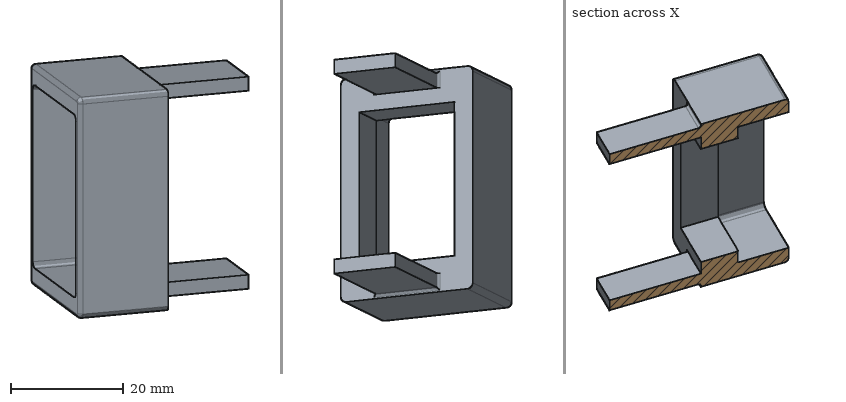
import cadquery as cq

body_width = 26.0
body_depth = 16.97
body_height = 40.8
side_edge_radius = 1.0
front_edge_radius = 0.78

pocket_width = body_width - 2 * 1.5
pocket_height = body_height - 2 * 3.5
pocket_depth = 9.75
pocket_corner_radius = 1.0
window_width = 18.73
window_height = 28.15

overall_depth = 34.6
arm_width = 12.0
arm_thickness = 2.6
arm_inset = 0.8
arm_root_radius = 0.5
arm_length = overall_depth - body_depth
arm_center_z = body_height / 2 - arm_inset - arm_thickness / 2


def front_block(width, depth, height):
    """Block centred on X and Z that runs back from the front plane."""
    return cq.Workplane("XY").box(width, depth, height, centered=(True, False, True))


def make_body():
    body = front_block(body_width, body_depth, body_height)
    body = body.edges("|Y").fillet(side_edge_radius)
    return body.faces("<Y").edges().fillet(front_edge_radius)


def add_arm(body, side):
    """Add the upper (side = 1) or lower (side = -1) arm, rounding its root except on the inner face."""
    arm = front_block(arm_width, arm_length, arm_thickness)
    body = body.union(arm.translate((0, body_depth, side * arm_center_z)))

    outer_z = side * (arm_center_z + arm_thickness / 2)
    root_points = [
        (0, body_depth, outer_z),
        (-arm_width / 2, body_depth, side * arm_center_z),
        (arm_width / 2, body_depth, side * arm_center_z),
    ]
    root_edges = cq.Workplane("XY").newObject(
        [body.edges(cq.NearestToPointSelector(point)).val() for point in root_points]
    )
    rounded = body.val().fillet(arm_root_radius, root_edges.vals())
    return cq.Workplane("XY").newObject([rounded])


def make_pocket():
    pocket = front_block(pocket_width, pocket_depth, pocket_height)
    return pocket.edges("|Y").fillet(pocket_corner_radius)


def make_window():
    return front_block(window_width, body_depth, window_height)


result = make_body()
for arm_side in (1, -1):
    result = add_arm(result, arm_side)
result = result.cut(make_pocket()).cut(make_window())